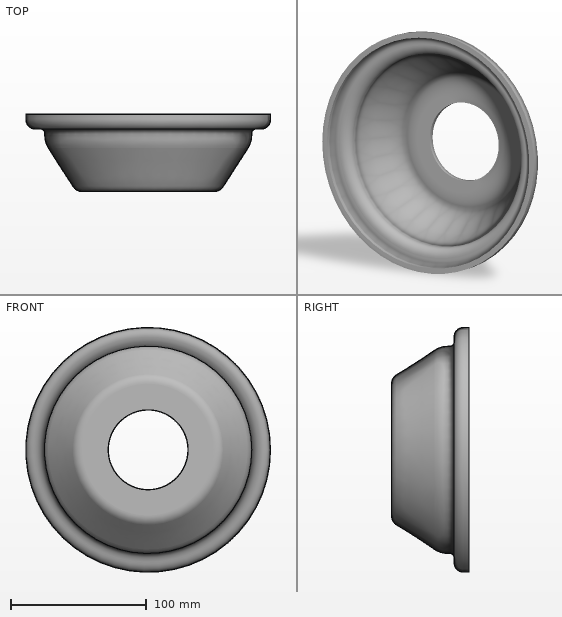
import math

import cadquery as cq

total_depth = 57.0
flange_radius = 90.0
flange_depth = 11.0
neck_radius = 76.2
neck_depth = 20.7
nose_radius = 52.8
hole_radius = 29.25
wall = 4.0

flange_round = 7.0
neck_fillet = 3.0
shoulder_round = 17.5
nose_round = 8.0

inner_shoulder_fillet = 3.0

cone_angle = math.atan2(neck_radius - nose_radius, total_depth - neck_depth)
shoulder_shift = wall * math.tan(cone_angle / 2)
nose_shift = wall * math.tan((math.pi / 2 - cone_angle) / 2)


def revolved_dome(flange, neck, shoulder, nose):
    """Solid dome whose corners are given as (radius, depth, rounding) from back to nose."""
    corners = [flange, neck, shoulder, nose]
    nose_depth = nose[1]
    points = [(0, 0), (flange[0], 0)]
    points += [(radius, -depth) for radius, depth, _ in corners]
    points += [(0, -nose_depth)]
    outline = cq.Wire.makePolygon([cq.Vector(x, y) for x, y in points], close=True)
    for radius, depth, rounding in corners:
        place = cq.Vector(radius, -depth)
        corner = min(outline.Vertices(), key=lambda vertex: (vertex.Center() - place).Length)
        outline = outline.fillet2D(rounding, [corner])
    solid = cq.Solid.revolve(outline, [], 360, cq.Vector(0, 0, 0), cq.Vector(0, 1, 0))
    return cq.Workplane(obj=solid)


def outer_dome():
    """Outside shape of flange, neck, cone and nose."""
    return revolved_dome(
        flange=(flange_radius, flange_depth, flange_round),
        neck=(neck_radius, flange_depth, neck_fillet),
        shoulder=(neck_radius, neck_depth, shoulder_round),
        nose=(nose_radius, total_depth, nose_round),
    )


def cavity():
    """Hollow one wall thickness inside the dome, open at the back."""
    inner_flange_depth = flange_depth - wall
    inner_neck_radius = neck_radius - wall
    return revolved_dome(
        flange=(flange_radius - wall, inner_flange_depth, flange_round - wall),
        neck=(inner_neck_radius, inner_flange_depth, neck_fillet + wall),
        shoulder=(inner_neck_radius, neck_depth - shoulder_shift, inner_shoulder_fillet),
        nose=(nose_radius - nose_shift, total_depth - wall, nose_round - wall),
    )


def center_hole():
    """Cylinder that opens the nose along the axis."""
    return cq.Workplane("XZ").circle(hole_radius).extrude(total_depth)


result = outer_dome().cut(cavity()).cut(center_hole())